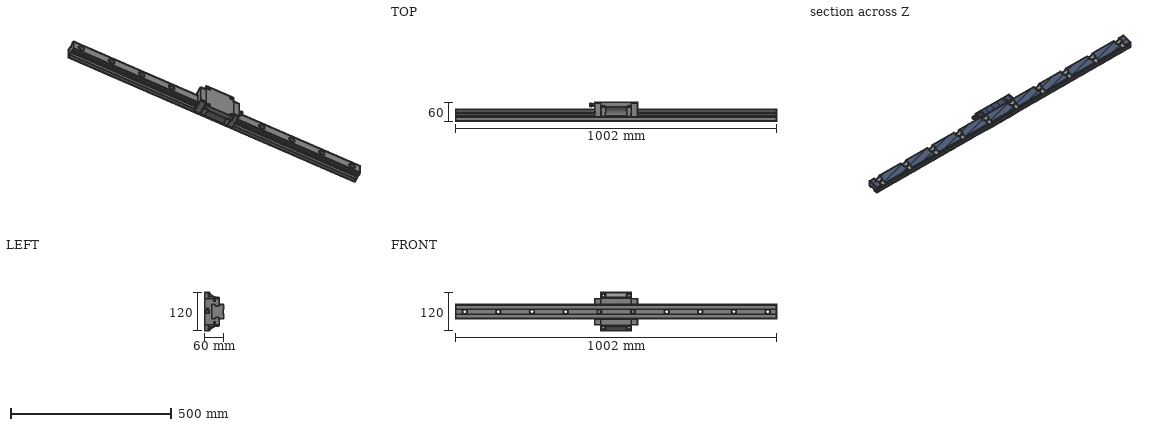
import cadquery as cq


UP = cq.Vector(0, 1, 0)
ALONG = cq.Vector(1, 0, 0)
ACROSS = cq.Vector(0, 0, 1)
BOTH_SIDES = (-1, 1)

RAIL_LENGTH = 1002.0
RAIL_HEIGHT = 38.0
RAIL_HALF_WIDTH = 22.5
RAIL_WAIST_HALF_WIDTH = 17.0
RAIL_FOOT_TOP = 12.0
RAIL_WAIST_BOTTOM = 18.0
RAIL_WAIST_TOP = 23.0
RAIL_HEAD_BOTTOM = 29.0
RAIL_EDGE_CHAMFER = 2.0
FOOT_GROOVE_HALF_WIDTH = 7.5
FOOT_GROOVE_DEPTH = 1.0
RAIL_HOLE_COUNT = 10
RAIL_HOLE_END_DISTANCE = 28.0
RAIL_HOLE_PITCH = (RAIL_LENGTH - 2 * RAIL_HOLE_END_DISTANCE) / (RAIL_HOLE_COUNT - 1)
RAIL_HOLE_DIAMETER = 14.0
RAIL_COUNTERBORE_DIAMETER = 20.0
RAIL_COUNTERBORE_DEPTH = 17.0

BLOCK_LENGTH = 95.0
BLOCK_TOP = 60.0
BLOCK_BOTTOM = 14.0
BLOCK_BOTTOM_CHAMFER = 3.0
BODY_HALF_WIDTH = 45.0
FLANGE_HALF_WIDTH = 60.0
FLANGE_BOTTOM = 46.0
COVE_BOTTOM = 21.0
MOUNT_SPACING_X = 80.0
MOUNT_SPACING_Z = 100.0
MOUNT_HOLE_DIAMETER = 10.0
SPOT_FACE_DIAMETER = 16.0
SPOT_FACE_HEIGHT = 48.0

RAIL_CLEARANCE = 0.5
MOUTH_HALF_WIDTH = RAIL_HALF_WIDTH + RAIL_CLEARANCE
MOUTH_TOP = 15.0

CARRIAGE_LENGTH = 134.0
CAP_LENGTH = (CARRIAGE_LENGTH - BLOCK_LENGTH) / 2
CAP_HALF_WIDTH = 41.0
CAP_TOP = BLOCK_TOP
CAP_BOTTOM = BLOCK_BOTTOM
CAP_TOP_CHAMFER = 3.0
SCREW_RECESS_DIAMETER = 6.0
SCREW_RECESS_DEPTH = 2.0
SCREW_RECESS_HEIGHT = 29.0
SCREW_RECESS_OFFSET = 35.0
SCREW_SOCKET_DIAMETER = 4.1
SCREW_SOCKET_DEPTH = 4.0

NIPPLE_HEIGHT = 51.0
NIPPLE_REACH = 11.0
NIPPLE_STEM_DIAMETER = 8.0
ELBOW_DIAMETER = 10.0
ELBOW_BOTTOM = -5.0
ELBOW_TOP = 5.0
NECK_DIAMETER = 4.1
NECK_TOP = 8.0
HEAD_DIAMETER = 4.9
HEAD_TOP = 11.0
GREASE_BORE_DIAMETER = 2.0


def cylinder(diameter, start, direction, length):
    """Return a solid cylinder that runs from start along direction."""
    solid = cq.Solid.makeCylinder(diameter / 2, length, cq.Vector(*start), direction)
    return cq.Workplane(obj=solid)


def symmetric_bar(half_outline, length):
    """Extrude a (z, y) half outline, mirrored across Z = 0, along X and centred on X = 0."""
    outline = half_outline + [(-z, y) for z, y in reversed(half_outline)]
    end_plane = cq.Plane(origin=(-length / 2, 0, 0), xDir=(0, 0, -1), normal=(1, 0, 0))
    return cq.Workplane(end_plane).polyline(outline).close().extrude(length)


def rail_bar():
    """The rail section with waisted sides and a grooved foot, before drilling."""
    width = RAIL_HALF_WIDTH
    edge = RAIL_EDGE_CHAMFER
    return symmetric_bar(
        [
            (FOOT_GROOVE_HALF_WIDTH, FOOT_GROOVE_DEPTH),
            (FOOT_GROOVE_HALF_WIDTH, 0),
            (width - edge, 0),
            (width, edge),
            (width, RAIL_FOOT_TOP),
            (RAIL_WAIST_HALF_WIDTH, RAIL_WAIST_BOTTOM),
            (RAIL_WAIST_HALF_WIDTH, RAIL_WAIST_TOP),
            (width, RAIL_HEAD_BOTTOM),
            (width, RAIL_HEIGHT - edge),
            (width - edge, RAIL_HEIGHT),
        ],
        RAIL_LENGTH,
    )


def make_rail():
    rail = rail_bar()
    counterbore_floor = RAIL_HEIGHT - RAIL_COUNTERBORE_DEPTH
    for i in range(RAIL_HOLE_COUNT):
        x = -RAIL_LENGTH / 2 + RAIL_HOLE_END_DISTANCE + i * RAIL_HOLE_PITCH
        hole = cylinder(RAIL_HOLE_DIAMETER, (x, 0, 0), UP, RAIL_HEIGHT)
        counterbore = cylinder(
            RAIL_COUNTERBORE_DIAMETER, (x, counterbore_floor, 0), UP, RAIL_COUNTERBORE_DEPTH
        )
        rail = rail.cut(hole).cut(counterbore)
    return rail


def rail_opening():
    """The rail section grown by the running clearance, with a straight-sided mouth at the foot."""
    grown = rail_bar().faces("<X").wires().toPending().offset2D(RAIL_CLEARANCE, "intersection")
    mouth = symmetric_bar([(MOUTH_HALF_WIDTH, 0), (MOUTH_HALF_WIDTH, MOUTH_TOP)], RAIL_LENGTH)
    return grown.extrude(-RAIL_LENGTH).union(mouth)


def flange_cove(side):
    """Concave round from the vertical body side out to the flange edge."""
    run = FLANGE_HALF_WIDTH - BODY_HALF_WIDTH
    rise = FLANGE_BOTTOM - COVE_BOTTOM
    radius = (run**2 + rise**2) / (2 * run)
    start = (-BLOCK_LENGTH / 2, COVE_BOTTOM, side * (BODY_HALF_WIDTH + radius))
    return cylinder(2 * radius, start, ALONG, BLOCK_LENGTH)


def mount_hole(x, z):
    """Flange hole with a spot face cut up from below."""
    hole = cylinder(MOUNT_HOLE_DIAMETER, (x, 0, z), UP, BLOCK_TOP)
    spot_face = cylinder(SPOT_FACE_DIAMETER, (x, 0, z), UP, SPOT_FACE_HEIGHT)
    return hole.union(spot_face)


def make_block():
    block = symmetric_bar(
        [
            (BODY_HALF_WIDTH - BLOCK_BOTTOM_CHAMFER, BLOCK_BOTTOM),
            (BODY_HALF_WIDTH, BLOCK_BOTTOM + BLOCK_BOTTOM_CHAMFER),
            (BODY_HALF_WIDTH, COVE_BOTTOM),
            (FLANGE_HALF_WIDTH, COVE_BOTTOM),
            (FLANGE_HALF_WIDTH, BLOCK_TOP),
        ],
        BLOCK_LENGTH,
    )
    for side in BOTH_SIDES:
        block = block.cut(flange_cove(side))
    for x in (-MOUNT_SPACING_X / 2, MOUNT_SPACING_X / 2):
        for z in (-MOUNT_SPACING_Z / 2, MOUNT_SPACING_Z / 2):
            block = block.cut(mount_hole(x, z))
    return block.cut(rail_opening())


def make_cap(end):
    """One end cap; end is -1 or 1 for the -X or +X end of the block."""
    cap = symmetric_bar(
        [
            (CAP_HALF_WIDTH, CAP_BOTTOM),
            (CAP_HALF_WIDTH, CAP_TOP - CAP_TOP_CHAMFER),
            (CAP_HALF_WIDTH - CAP_TOP_CHAMFER, CAP_TOP),
        ],
        CAP_LENGTH,
    )
    cap = cap.translate((end * (BLOCK_LENGTH + CAP_LENGTH) / 2, 0, 0))
    for side in BOTH_SIDES:
        start = (end * CARRIAGE_LENGTH / 2, SCREW_RECESS_HEIGHT, side * SCREW_RECESS_OFFSET)
        inward = ALONG * -end
        cap = cap.cut(cylinder(SCREW_RECESS_DIAMETER, start, inward, SCREW_RECESS_DEPTH))
        cap = cap.cut(cylinder(SCREW_SOCKET_DIAMETER, start, inward, SCREW_SOCKET_DEPTH))
    return cap.cut(rail_opening())


def make_nipple():
    """Elbow nipple: a stem out of the -X end cap, then a barrel and a grease head toward +Z."""
    cap_face = -CARRIAGE_LENGTH / 2
    elbow_x = cap_face - NIPPLE_REACH

    def upright(diameter, bottom, top):
        return cylinder(diameter, (elbow_x, NIPPLE_HEIGHT, bottom), ACROSS, top - bottom)

    nipple = cylinder(NIPPLE_STEM_DIAMETER, (cap_face, NIPPLE_HEIGHT, 0), ALONG * -1, NIPPLE_REACH)
    nipple = nipple.union(upright(ELBOW_DIAMETER, ELBOW_BOTTOM, ELBOW_TOP))
    nipple = nipple.union(upright(NECK_DIAMETER, ELBOW_TOP, NECK_TOP))
    nipple = nipple.union(upright(HEAD_DIAMETER, NECK_TOP, HEAD_TOP))
    return nipple.cut(upright(GREASE_BORE_DIAMETER, ELBOW_TOP, HEAD_TOP))


rail = make_rail()
block = make_block()
caps = [make_cap(end) for end in BOTH_SIDES]
nipple = make_nipple()

result = cq.Compound.makeCompound(
    [rail.val(), block.val(), *[cap.val() for cap in caps], nipple.val()]
)